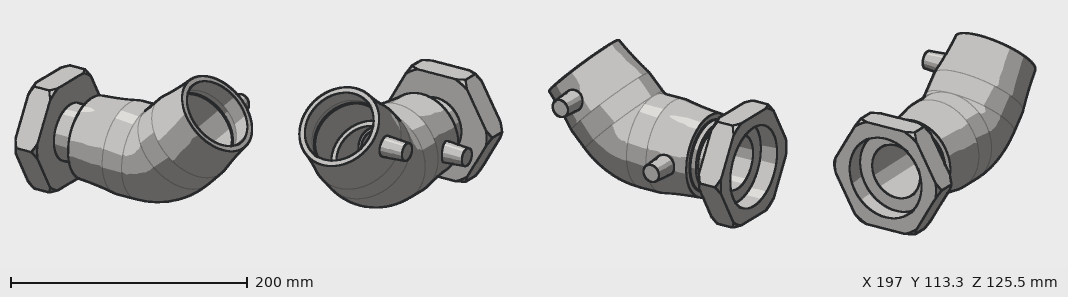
import cadquery as cq
import math

nut_length = 22.3
nut_across_flats = 94.0
nut_across_corners = nut_across_flats / math.cos(math.pi / 6)
nut_chamfer = 3.5
nut_bore_diameter = 72.3
nut_bore_depth = 16.4

neck_diameter = 50.6
stub_diameter = 63.0
stub_start = 39.4
stub_bevel_diameter = 57.7
stub_bevel_length = 3.7
stub_bore_diameter = 48.0

mouth_start = 44.1
mouth_diameter = 73.3
body_diameter = 82.0
body_radius = body_diameter / 2
taper_length = 37.6
taper_sag = 0.5
straight_length = 19.7
arm_length = taper_length + straight_length
bend_start = mouth_start + arm_length
bend_radius = body_radius + 0.2
bend_angle = 45
bend_bore_diameter = 53.5

socket_radius = stub_diameter / 2
groove_start = 15.5
groove_end = 22.3
groove_depth = 1.2

terminal_tip = 59.0
terminal_tip_diameter = 15.5
terminal_base_diameter = 18.7
terminal_length = 23.6
terminal_to_bend = 36.6


def disc(start, length, diameter):
    """Cylinder along X."""
    return cq.Workplane("YZ", origin=(start, 0, 0)).circle(diameter / 2).extrude(length)


def to_outlet(shape):
    """Swing a shape about the bend axis by the bend angle."""
    pivot_start = (bend_start, 0, bend_radius)
    pivot_end = (bend_start, -1, bend_radius)
    return shape.rotate(pivot_start, pivot_end, bend_angle)


def bend(diameter):
    """Round bend whose axis runs along Y just clear of the body."""
    return (
        cq.Workplane("YZ", origin=(bend_start, 0, 0))
        .circle(diameter / 2)
        .revolve(bend_angle, (0, bend_radius, 0), (-1, bend_radius, 0))
    )


def make_nut():
    """Hexagon with corners on Y, its corners bevelled at both ends."""
    hexagon = cq.Workplane("YZ").polygon(6, nut_across_corners).extrude(nut_length)
    bevel_envelope = disc(0, nut_length, nut_across_corners).edges().chamfer(nut_chamfer)
    return hexagon.intersect(bevel_envelope)


def make_stub():
    neck = disc(nut_length, stub_start - nut_length, neck_diameter)
    bevel_end = stub_start + stub_bevel_length
    bevel = (
        cq.Workplane("YZ", origin=(stub_start, 0, 0))
        .circle(stub_bevel_diameter / 2)
        .workplane(offset=stub_bevel_length)
        .circle(stub_diameter / 2)
        .loft()
    )
    return neck.union(bevel).union(disc(bevel_end, bend_start - bevel_end, stub_diameter))


def make_inlet_arm():
    """Body from the mouth to the bend, with a slightly hollow taper."""
    mouth_radius = mouth_diameter / 2
    taper_end = mouth_start + taper_length
    taper_middle = (
        mouth_start + taper_length / 2,
        (mouth_radius + body_radius) / 2 - taper_sag,
    )
    return (
        cq.Workplane("XY")
        .moveTo(mouth_start, 0)
        .lineTo(mouth_start, mouth_radius)
        .threePointArc(taper_middle, (taper_end, body_radius))
        .lineTo(bend_start, body_radius)
        .lineTo(bend_start, 0)
        .close()
        .revolve(360, (0, 0, 0), (1, 0, 0))
    )


def make_outlet_arm():
    """The inlet arm mirrored at the bend and swung upward."""
    return to_outlet(make_inlet_arm().mirror("YZ", (bend_start, 0, 0)))


def make_outlet_socket():
    """Socket void with a groove flaring inward to a square ledge."""
    mouth_end = bend_start + arm_length
    ledge = mouth_end - groove_end
    void = (
        cq.Workplane("XY")
        .moveTo(bend_start, 0)
        .lineTo(bend_start, socket_radius)
        .lineTo(ledge, socket_radius)
        .lineTo(ledge, socket_radius + groove_depth)
        .lineTo(mouth_end - groove_start, socket_radius)
        .lineTo(mouth_end, socket_radius)
        .lineTo(mouth_end, 0)
        .close()
        .revolve(360, (0, 0, 0), (1, 0, 0))
    )
    return to_outlet(void)


def make_terminal(x):
    """Tapered pin pointing along +Y."""
    return (
        cq.Workplane("XZ", origin=(x, terminal_tip, 0))
        .circle(terminal_tip_diameter / 2)
        .workplane(offset=terminal_length)
        .circle(terminal_base_diameter / 2)
        .loft()
    )


solid = make_nut().union(make_stub())
solid = solid.union(make_inlet_arm()).union(bend(body_diameter)).union(make_outlet_arm())
solid = solid.union(make_terminal(bend_start - terminal_to_bend))
solid = solid.union(to_outlet(make_terminal(bend_start + terminal_to_bend)))

solid = solid.cut(disc(0, nut_bore_depth, nut_bore_diameter))
solid = solid.cut(disc(0, bend_start, stub_bore_diameter))
solid = solid.cut(bend(bend_bore_diameter))
result = solid.cut(make_outlet_socket())